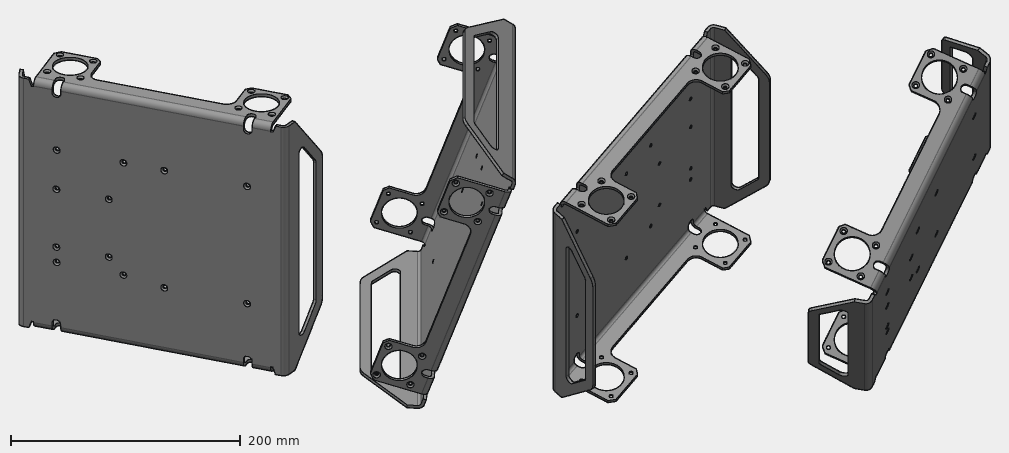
import cadquery as cq
import math

overall_width = 278.0
overall_depth = 55.0
overall_height = 250.0
sheet = 3.0
bend_radius = 2 * sheet
half_height = overall_height / 2

panel_half_width = 120.0
flange_half_width = 110.7
flange_bend_start = half_height - bend_radius
notch_depth = 6.7
notch_floor_width = 2.0
notch_top_width = 4.5

wing_bend_angle = 75.0
wing_shoulder = 9.2
wing_tip_half_length = 74.2
wing_corner_radius = 14.0
handle_width = 9.7
opening_start = 15.0
opening_apex_radius = 4.5
opening_bar_radius = 5.5

flange_bend_angle = 90.0
lug_width = 43.0
lug_outer_chamfer = 5.0
lug_inner_chamfer = 4.2
web_depth = 20.0
lug_fillet = 9.2
lug_center = 89.3
port_depth = 34.0
port_diameter = 31.1
port_screw_spacing = 31.1

slot_width = 8.0
slot_reach = 13.0

screw_diameter = 3.3
countersink_diameter = 6.5
countersink_angle = 90.0

screw_patterns = [
    (-89.0, -26.7, -54.0, 59.0),
    (-89.3, -40.3, -38.7, 19.5),
    (11.5, 88.7, -59.0, 59.0),
]


def bend(plane, angle, half_length):
    """Bent strip starting at the plane origin along local x and curling toward local y."""
    inner_radius = bend_radius - sheet

    def on_arc(radius, degrees):
        turn = math.radians(degrees)
        return (radius * math.sin(turn), bend_radius - radius * math.cos(turn))

    return (
        cq.Workplane(plane)
        .moveTo(*on_arc(bend_radius, 0))
        .threePointArc(on_arc(bend_radius, angle / 2), on_arc(bend_radius, angle))
        .lineTo(*on_arc(inner_radius, angle))
        .threePointArc(on_arc(inner_radius, angle / 2), on_arc(inner_radius, 0))
        .close()
        .extrude(half_length, both=True)
    )


def rounded_polygon(plane, corners):
    """Sheet-thick plate with corners (x, y, radius); a radius of 0 leaves the corner sharp."""
    outline = []
    for i, (x, y, radius) in enumerate(corners):
        corner = cq.Vector(x, y)
        before = (cq.Vector(*corners[i - 1][:2]) - corner).normalized()
        after = (cq.Vector(*corners[(i + 1) % len(corners)][:2]) - corner).normalized()
        half_angle = before.getAngle(after) / 2
        trim = radius / math.tan(half_angle)
        bulge = radius / math.sin(half_angle) - radius
        middle = corner + (before + after).normalized() * bulge
        outline.append((corner + before * trim, middle, corner + after * trim, radius))

    profile = cq.Workplane(plane).moveTo(outline[-1][2].x, outline[-1][2].y)
    for start, middle, end, radius in outline:
        profile = profile.lineTo(start.x, start.y)
        if radius > 0:
            profile = profile.threePointArc((middle.x, middle.y), (end.x, end.y))
    return profile.close().extrude(sheet)


def make_panel():
    """Flat back panel with a relief notch at each end of the flange bends."""
    notch_inner = flange_half_width + notch_floor_width
    notch_outer = flange_half_width + notch_top_width
    quarter = [
        (0, 0),
        (panel_half_width, 0),
        (panel_half_width, half_height),
        (notch_outer, half_height),
        (notch_inner, half_height - notch_depth),
        (flange_half_width, half_height - notch_depth),
        (flange_half_width, flange_bend_start),
        (0, flange_bend_start),
    ]
    corner = cq.Workplane("XZ").polyline(quarter).close().extrude(-sheet)
    half = corner.union(corner.mirror("YZ"))
    return half.union(half.mirror("XY"))


def make_wing():
    """Left wing: bend plus a trapezoidal plate with a handle opening."""
    bend_plane = cq.Plane(origin=(-panel_half_width, 0, 0), xDir=(-1, 0, 0), normal=(0, 0, -1))
    wing_bend = bend(bend_plane, wing_bend_angle, half_height)

    turn = math.radians(wing_bend_angle)
    root_x = panel_half_width + bend_radius * math.sin(turn)
    root_y = bend_radius * (1 - math.cos(turn))
    length = (overall_width / 2 - root_x) / math.cos(turn)
    wing_plane = cq.Plane(
        origin=(-root_x, root_y, 0),
        xDir=(-math.cos(turn), math.sin(turn), 0),
        normal=(math.sin(turn), math.cos(turn), 0),
    )
    plate = rounded_polygon(wing_plane, [
        (0, -half_height, 0),
        (0, half_height, 0),
        (wing_shoulder, half_height, 0),
        (length, wing_tip_half_length, wing_corner_radius),
        (length, -wing_tip_half_length, wing_corner_radius),
        (wing_shoulder, -half_height, 0),
    ])

    run = length - wing_shoulder
    drop = half_height - wing_tip_half_length
    slant_shift = handle_width * math.hypot(run, drop) / run

    def slant_height(distance):
        """Height of the opening's slanted edge at a given distance along the wing."""
        return half_height - (distance - wing_shoulder) * drop / run - slant_shift

    opening_end = length - handle_width
    opening = rounded_polygon(wing_plane, [
        (opening_start, -slant_height(opening_start), opening_apex_radius),
        (opening_start, slant_height(opening_start), opening_apex_radius),
        (opening_end, slant_height(opening_end), opening_bar_radius),
        (opening_end, -slant_height(opening_end), opening_bar_radius),
    ])
    return wing_bend.union(plate.cut(opening))


def countersunk_hole(face_plane):
    """Cutter for a countersunk hole; the plane normal points into the sheet."""
    shank = cq.Workplane(face_plane).circle(screw_diameter / 2).extrude(sheet)
    cone_depth = (countersink_diameter - screw_diameter) / 2 / math.tan(math.radians(countersink_angle / 2))
    cone = (
        cq.Workplane(face_plane)
        .circle(countersink_diameter / 2)
        .workplane(offset=cone_depth)
        .circle(screw_diameter / 2)
        .loft()
    )
    return shank.union(cone)


def make_flange():
    """Top flange: bend, web and two lugs, each with a port and four screw holes."""
    bend_plane = cq.Plane(origin=(0, 0, flange_bend_start), xDir=(0, 0, 1), normal=(-1, 0, 0))
    flange_bend = bend(bend_plane, flange_bend_angle, flange_half_width)
    lug_inner = flange_half_width - lug_width
    right_half = (
        cq.Workplane("XY", origin=(0, 0, half_height))
        .moveTo(0, bend_radius)
        .lineTo(flange_half_width, bend_radius)
        .lineTo(flange_half_width, overall_depth - lug_outer_chamfer)
        .lineTo(flange_half_width - lug_outer_chamfer, overall_depth)
        .lineTo(lug_inner + lug_inner_chamfer, overall_depth)
        .lineTo(lug_inner, overall_depth - lug_inner_chamfer)
        .lineTo(lug_inner, web_depth + lug_fillet)
        .radiusArc((lug_inner - lug_fillet, web_depth), lug_fillet)
        .lineTo(0, web_depth)
        .close()
        .extrude(-sheet)
    )
    port = (
        cq.Workplane("XY", origin=(lug_center, port_depth, half_height))
        .circle(port_diameter / 2)
        .extrude(-sheet)
    )
    right_half = right_half.cut(port)
    half_spacing = port_screw_spacing / 2
    for x in (lug_center - half_spacing, lug_center + half_spacing):
        for y in (port_depth - half_spacing, port_depth + half_spacing):
            face_plane = cq.Plane(origin=(x, y, half_height), xDir=(1, 0, 0), normal=(0, 0, -1))
            right_half = right_half.cut(countersunk_hole(face_plane))
    return flange_bend.union(right_half).union(right_half.mirror("YZ"))


def bend_slot(x, side):
    """Cutter for a round-ended slot wrapping a flange bend; side is +1 for top, -1 for bottom."""
    straight = slot_reach - slot_width / 2

    def round_ended(workplane, end):
        return (
            workplane.rect(slot_width, 2 * straight)
            .extrude(bend_radius)
            .union(workplane.center(0, end * straight).circle(slot_width / 2).extrude(bend_radius))
        )

    edge_z = side * half_height
    in_panel = round_ended(cq.Workplane("XZ", origin=(x, bend_radius, edge_z)), -side)
    lower_z = min(edge_z, edge_z - side * bend_radius)
    in_flange = round_ended(cq.Workplane("XY", origin=(x, 0, lower_z)), 1)
    return in_panel.union(in_flange)


wing = make_wing()
flange = make_flange()
result = (
    make_panel()
    .union(wing)
    .union(wing.mirror("YZ"))
    .union(flange)
    .union(flange.mirror("XY"))
)

for slot_x in (-lug_center, lug_center):
    for slot_side in (1, -1):
        result = result.cut(bend_slot(slot_x, slot_side))

for left, right, lower, upper in screw_patterns:
    for screw_x in (left, right):
        for screw_z in (lower, upper):
            screw_plane = cq.Plane(origin=(screw_x, 0, screw_z), xDir=(1, 0, 0), normal=(0, 1, 0))
            result = result.cut(countersunk_hole(screw_plane))